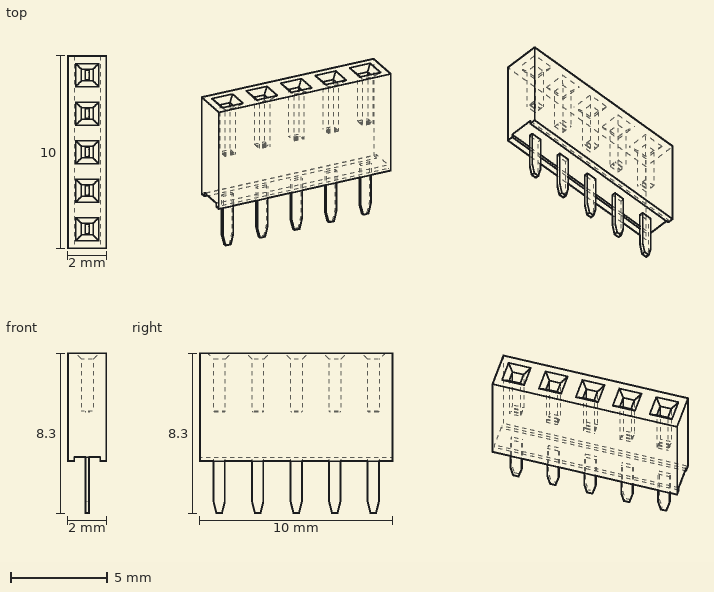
import cadquery as cq

pin_count = 5
pitch = 2.0
body_width = pitch
body_length = pin_count * pitch
body_height = 5.6

foot_width = 0.33
groove_depth = 0.2

pin_thickness = 0.2
pin_width = 0.6
pin_reach = 2.7
pin_tip_width = 0.3
pin_tip_length = 0.6

funnel_mouth = 1.2
hole_size = 0.6
socket_depth = 3.0
funnel_depth = (funnel_mouth - hole_size) / 2

slot_width = pin_thickness
slot_depth = 0.05
slot_floor_length = hole_size - 2 * slot_depth

row_positions = [(i - (pin_count - 1) / 2) * pitch for i in range(pin_count)]


def make_housing():
    block = cq.Workplane("XY").box(body_width, body_length, body_height, centered=(True, True, False))
    groove_width = body_width - 2 * foot_width
    groove = cq.Workplane("XY").box(groove_width, body_length, groove_depth, centered=(True, True, False))
    return block.cut(groove)


def make_socket_cut():
    """Funnel, straight hole and contact slot, centred on the Z axis."""
    floor_height = body_height - socket_depth
    funnel = (
        cq.Workplane("XY", origin=(0, 0, body_height))
        .rect(funnel_mouth, funnel_mouth)
        .workplane(offset=-funnel_depth)
        .rect(hole_size, hole_size)
        .loft(ruled=True)
    )
    hole = (
        cq.Workplane("XY", origin=(0, 0, floor_height))
        .rect(hole_size, hole_size)
        .extrude(socket_depth - funnel_depth)
    )
    slot = (
        cq.Workplane("YZ")
        .moveTo(-hole_size / 2, floor_height)
        .lineTo(hole_size / 2, floor_height)
        .lineTo(slot_floor_length / 2, floor_height - slot_depth)
        .lineTo(-slot_floor_length / 2, floor_height - slot_depth)
        .close()
        .extrude(slot_width / 2, both=True)
    )
    return funnel.union(hole).union(slot)


def make_pin():
    """Blade hanging from the groove ceiling, centred on the Z axis."""
    shoulder_height = pin_tip_length - pin_reach
    return (
        cq.Workplane("YZ")
        .moveTo(-pin_width / 2, groove_depth)
        .lineTo(pin_width / 2, groove_depth)
        .lineTo(pin_width / 2, shoulder_height)
        .lineTo(pin_tip_width / 2, -pin_reach)
        .lineTo(-pin_tip_width / 2, -pin_reach)
        .lineTo(-pin_width / 2, shoulder_height)
        .close()
        .extrude(pin_thickness / 2, both=True)
    )


result = make_housing()
socket_cut = make_socket_cut()
pin = make_pin()
for y in row_positions:
    result = result.cut(socket_cut.translate((0, y, 0)))
    result = result.union(pin.translate((0, y, 0)))